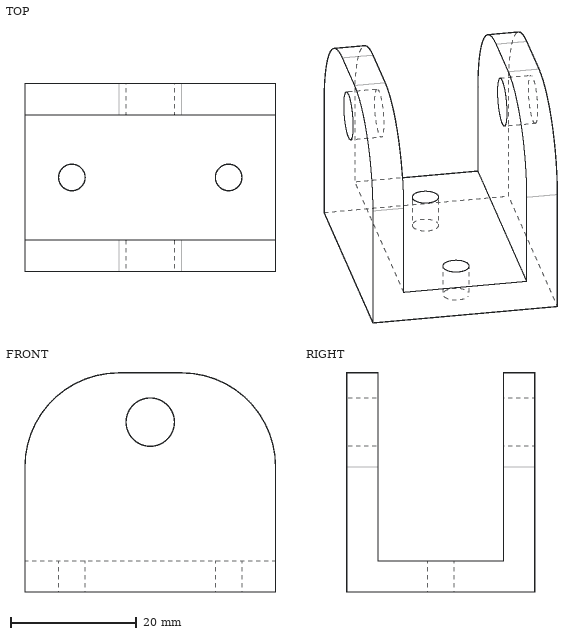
import cadquery as cq

length = 40.0
width = 30.0
height = 35.0

wall = 5.0
corner_radius = 15.0

pin_diameter = 7.7
pin_height = 27.1

mount_diameter = 4.2
mount_spacing = 25.0

block = cq.Workplane("XY").box(length, width, height, centered=(True, True, False))

rounded = block.edges("|Y and >Z").fillet(corner_radius)

channel = (
    cq.Workplane("XY")
    .workplane(offset=wall)
    .rect(length, width - 2 * wall)
    .extrude(height - wall)
)

pin_hole = (
    cq.Workplane("XZ")
    .center(0, pin_height)
    .circle(pin_diameter / 2)
    .extrude(width / 2, both=True)
)

mount_holes = (
    cq.Workplane("XY")
    .rarray(mount_spacing, 0.4, 2, 1)
    .circle(mount_diameter / 2)
    .extrude(wall)
)

result = rounded.cut(channel).cut(pin_hole).cut(mount_holes)